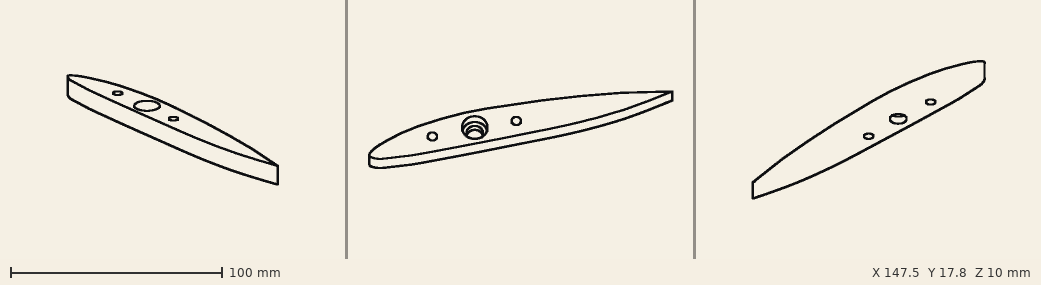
import cadquery as cq

chord = 147.5
thickness = 10.0
bottom_round = 0.9

tail = (chord, 0)
upper_tail_direction = (-1, 0.21)
lower_tail_direction = (1, 0.21)
nose = (0, -0.1)
upper_side = [
    (126.6, 4.4),
    (106.1, 7.5),
    (86.2, 9.7),
    (68.3, 11.0),
    (50.2, 11.8),
    (36.1, 11.0),
    (25.1, 9.7),
    (15.0, 7.5),
    (7.2, 4.9),
    (2.5, 2.7),
]
lower_front = [
    (2.4, -2.2),
    (8.9, -3.5),
    (18.7, -4.5),
    (29.2, -5.0),
]
lower_join = (55.2, -5.6)
lower_join_direction = (1, -0.015)
lower_rear = [
    (76.7, -5.9),
    (93.0, -6.0),
    (112.3, -5.3),
    (125.4, -4.0),
    (136.2, -2.2),
]

bore_center = (52.1, 3.0)
bore_diameter = 8.0
counterbore_diameter = 12.1
counterbore_depth = 5.9

pin_hole_centers = [(31.4, 3.0), (72.0, 1.8)]
pin_hole_diameter = 4.4


def aerofoil_blank():
    """Solid aerofoil plate with its top face at z = thickness."""
    outline = (
        cq.Workplane("XY")
        .moveTo(*tail)
        .spline(
            upper_side + [nose] + lower_front + [lower_join],
            tangents=[upper_tail_direction, lower_join_direction],
            includeCurrent=True,
        )
        .spline(
            lower_rear + [tail],
            tangents=[lower_join_direction, lower_tail_direction],
            includeCurrent=True,
        )
        .close()
    )
    return outline.extrude(thickness)


plate = aerofoil_blank().faces("<Z").edges().fillet(bottom_round)

plate = (
    plate.faces(">Z")
    .workplane(origin=(0, 0, thickness))
    .pushPoints([bore_center])
    .cboreHole(bore_diameter, counterbore_diameter, counterbore_depth)
)

result = (
    plate.faces(">Z")
    .workplane(origin=(0, 0, thickness))
    .pushPoints(pin_hole_centers)
    .hole(pin_hole_diameter)
)